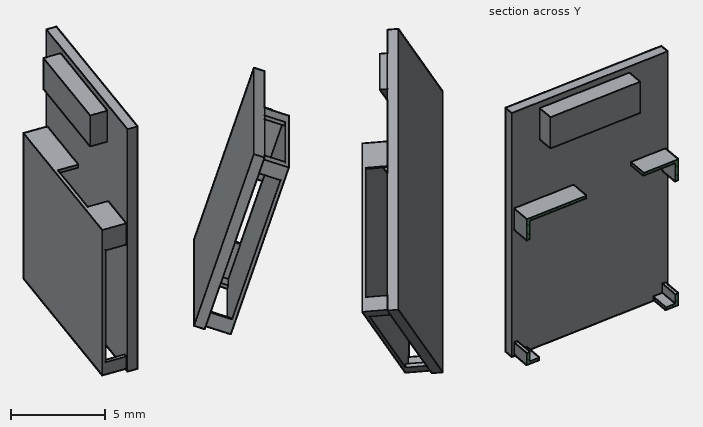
import cadquery as cq

overall_depth = 2.0

board_width = 10.0
board_height = 15.8
board_thickness = 0.6

antenna_width = 5.75
antenna_height = 2.02
antenna_depth = 1.01
antenna_side_gap = 1.79
antenna_top_gap = 0.4

shield_depth = overall_depth - board_thickness
shield_side_margin = 0.15
shield_bottom_margin = 0.1
shield_height = 9.48
shield_wall = 0.2
shield_width = board_width - 2 * shield_side_margin

slot_width = 3.67
slot_side_gap = 3.82

leg_width = 0.8
window_height = 7.28

board_left = -board_width / 2
shield_left = board_left + shield_side_margin
cavity_depth = shield_depth - shield_wall


def front_block(left, bottom, width, height, depth):
    """Box standing out by depth from the board's front face, towards -Y."""
    return cq.Workplane("XY").box(width, depth, height, centered=False).translate((left, -depth, bottom))


def make_board():
    """Board plate and its antenna block, as one solid."""
    plate = cq.Workplane("XY").box(board_width, board_thickness, board_height, centered=False)
    plate = plate.translate((board_left, 0, 0))
    antenna = front_block(
        board_left + antenna_side_gap,
        board_height - antenna_top_gap - antenna_height,
        antenna_width,
        antenna_height,
        antenna_depth,
    )
    return plate.union(antenna)


def make_shield():
    """Hollow can with a slot in its top, windows in its sides and an open bottom."""
    can = front_block(shield_left, shield_bottom_margin, shield_width, shield_height, shield_depth)
    cavity = front_block(
        shield_left + shield_wall,
        shield_bottom_margin + shield_wall,
        shield_width - 2 * shield_wall,
        shield_height - 2 * shield_wall,
        cavity_depth,
    )
    top_slot = front_block(
        shield_left + slot_side_gap,
        shield_bottom_margin + shield_height - shield_wall,
        slot_width,
        shield_wall,
        cavity_depth,
    )
    bottom_opening = front_block(
        shield_left + leg_width,
        shield_bottom_margin,
        shield_width - 2 * leg_width,
        shield_wall,
        cavity_depth,
    )
    windows = front_block(
        shield_left, shield_bottom_margin + leg_width, shield_width, window_height, cavity_depth
    )
    return can.cut(cavity).cut(top_slot).cut(bottom_opening).cut(windows)


board = make_board()
shield = make_shield()
result = cq.Compound.makeCompound([board.solids().val(), shield.solids().val()])